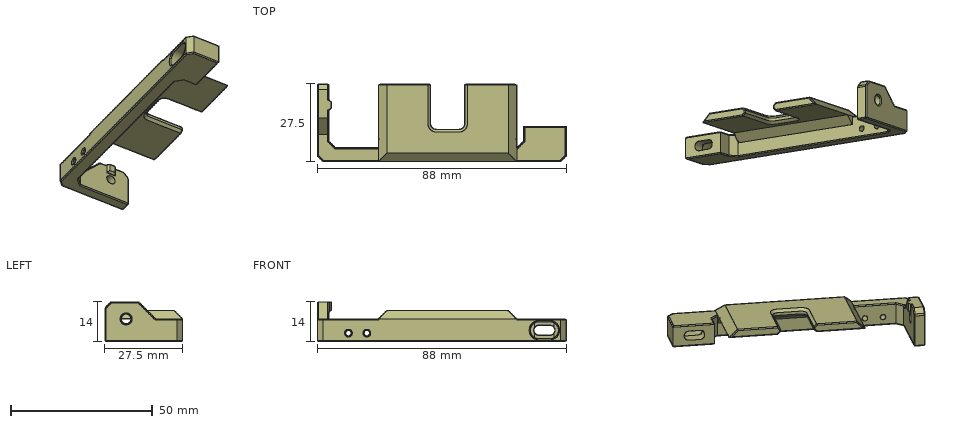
import cadquery as cq

LENGTH = 88.0
DEPTH = 27.5
HEIGHT = 14.0

BAR_HEIGHT = 8.0
BAR_DEPTH = 4.9
CORNER_CUT = 2.0
INNER_CUT = 2.4
ARM_THICKNESS = 4.05
ARM_REAR_CUT = 2.0
ARM_SLOPE_TOP_Y = 15.5
BLOCK_X = 72.95
BLOCK_DEPTH = 12.5
EDGE_BREAK = 0.4

PLATE_X = 21.6
PLATE_LENGTH = 48.9
PLATE_THICKNESS = 3.0
PLATE_TOP = BAR_HEIGHT + PLATE_THICKNESS
GUSSET_LEG = 3.0

NOTCH_X = 40.0
NOTCH_WIDTH = 12.1
NOTCH_FLOOR_Y = 11.4
NOTCH_RADIUS = 2.0
NOTCH_BEVEL = 1.0

ARM_HOLE_DIAMETER = 3.4
ARM_HOLE_Y = 20.0
ARM_HOLE_Z = BAR_HEIGHT
RIB_WIDTH = 3.5
RIB_REACH = 0.9
RIB_BEVEL = 0.7
RIB_BOTTOM_Z = 10.5

PIN_HOLE_DIAMETER = 1.9
PIN_HOLE_XS = (11.0, 17.5)
PIN_HOLE_Z = 3.0

SLOT_X = 80.3
SLOT_Z = BAR_HEIGHT / 2
SLOT_TRAVEL = 4.0
SLOT_WIDTH = 3.4
RECESS_WIDTH = 6.0
RECESS_DEPTH = 7.9
STEP_LENGTH = 6.9
STEP_DEPTH = 0.3


def make_frame():
    """Bar, arm and block as one outline, cut to the arm's side profile."""
    inner_cut_y = BAR_DEPTH + INNER_CUT
    outline = [
        (CORNER_CUT, 0),
        (LENGTH - CORNER_CUT, 0),
        (LENGTH, CORNER_CUT),
        (LENGTH, BLOCK_DEPTH),
        (BLOCK_X, BLOCK_DEPTH),
        (BLOCK_X, inner_cut_y),
        (BLOCK_X - INNER_CUT, BAR_DEPTH),
        (ARM_THICKNESS + INNER_CUT, BAR_DEPTH),
        (ARM_THICKNESS, inner_cut_y),
        (ARM_THICKNESS, DEPTH),
        (0, DEPTH),
        (0, CORNER_CUT),
    ]
    slope_bottom_y = ARM_SLOPE_TOP_Y - (HEIGHT - BAR_HEIGHT)
    side_profile = [
        (0, 0),
        (DEPTH, 0),
        (DEPTH, HEIGHT - ARM_REAR_CUT),
        (DEPTH - ARM_REAR_CUT, HEIGHT),
        (ARM_SLOPE_TOP_Y, HEIGHT),
        (slope_bottom_y, BAR_HEIGHT),
        (0, BAR_HEIGHT),
    ]
    above_bar = (
        cq.Workplane("XY", origin=(ARM_THICKNESS, 0, BAR_HEIGHT))
        .rect(LENGTH, DEPTH, centered=False)
        .extrude(HEIGHT)
    )
    sides = cq.Workplane("YZ").polyline(side_profile).close().extrude(LENGTH)
    frame = cq.Workplane("XY").polyline(outline).close().extrude(HEIGHT)
    frame = frame.intersect(sides).cut(above_bar)

    cross_edges = frame.edges("(not |Z) and (not |X)")
    long_edges = frame.edges("|X").filter(lambda edge: edge.Length() > ARM_THICKNESS)
    arm_rear_edges = frame.faces(">Y").edges()
    return cross_edges.add(long_edges).add(arm_rear_edges).chamfer(EDGE_BREAK)


def make_notch(offset, z):
    """Round-cornered notch outline, widened by offset, running out past the rear."""
    width = NOTCH_WIDTH + 2 * offset
    length = 2 * (DEPTH - NOTCH_FLOOR_Y) + 2 * offset
    outline = cq.Sketch().rect(width, length).vertices().fillet(NOTCH_RADIUS + offset)
    center = (NOTCH_X + NOTCH_WIDTH / 2, DEPTH, z)
    return cq.Workplane("XY", origin=center).placeSketch(outline)


def make_plate():
    """Plate bevelled on its left, right and front sides, notched at the rear."""
    right_x = PLATE_X + PLATE_LENGTH
    front_profile = [
        (PLATE_X, BAR_HEIGHT),
        (right_x, BAR_HEIGHT),
        (right_x - PLATE_THICKNESS, PLATE_TOP),
        (PLATE_X + PLATE_THICKNESS, PLATE_TOP),
    ]
    side_profile = [
        (0, BAR_HEIGHT),
        (DEPTH, BAR_HEIGHT),
        (DEPTH, PLATE_TOP),
        (PLATE_THICKNESS, PLATE_TOP),
    ]
    plate = cq.Workplane("XZ").polyline(front_profile).close().extrude(-DEPTH)
    sides = cq.Workplane("YZ").polyline(side_profile).close().extrude(LENGTH)
    plate = plate.intersect(sides)

    notch = make_notch(0, BAR_HEIGHT).extrude(PLATE_THICKNESS)
    top_bevel = make_notch(NOTCH_BEVEL, PLATE_TOP).extrude(-NOTCH_BEVEL, taper=45)
    bottom_bevel = make_notch(NOTCH_BEVEL, BAR_HEIGHT).extrude(NOTCH_BEVEL, taper=45)
    plate = plate.cut(notch).cut(top_bevel).cut(bottom_bevel)
    return plate.faces(">Y").edges().chamfer(EDGE_BREAK)


def make_plate_support():
    """Solid bar under the plate, with a sloped gusset along its rear."""
    profile = [
        (0, EDGE_BREAK),
        (BAR_DEPTH, EDGE_BREAK),
        (BAR_DEPTH, BAR_HEIGHT - GUSSET_LEG),
        (BAR_DEPTH + GUSSET_LEG, BAR_HEIGHT),
        (0, BAR_HEIGHT),
    ]
    return (
        cq.Workplane("YZ", origin=(PLATE_X, 0, 0))
        .polyline(profile)
        .close()
        .extrude(PLATE_LENGTH)
    )


def make_rib():
    """Vertical locating rib on the arm's inner face, bevelled at its sides and foot."""
    base_x = ARM_THICKNESS - EDGE_BREAK
    length = RIB_REACH + EDGE_BREAK
    height = HEIGHT - RIB_BOTTOM_Z
    rib = cq.Workplane("XY").box(length, RIB_WIDTH, height, centered=(False, True, False))
    return (
        rib.edges(">X and (not >Z)")
        .chamfer(RIB_BEVEL)
        .translate((base_x, ARM_HOLE_Y, RIB_BOTTOM_Z))
    )


def round_cutter(diameter, depth, bevel):
    """Round hole along +Z from the origin, bevelled at its mouth."""
    radius = diameter / 2
    hole = cq.Workplane("XY").circle(radius).extrude(depth)
    mouth = cq.Workplane("XY").circle(radius + bevel).extrude(bevel, taper=45)
    return hole.union(mouth)


def make_arm_hole():
    hole = round_cutter(ARM_HOLE_DIAMETER, ARM_THICKNESS, EDGE_BREAK)
    return hole.rotate((0, 0, 0), (0, 1, 0), 90).translate((0, ARM_HOLE_Y, ARM_HOLE_Z))


def make_pin_hole(x):
    hole = round_cutter(PIN_HOLE_DIAMETER, BAR_DEPTH, EDGE_BREAK)
    return hole.rotate((0, 0, 0), (1, 0, 0), -90).translate((x, 0, PIN_HOLE_Z))


def make_slot():
    """Through slot with a wide front recess and a shallow step at its floor."""
    front = cq.Workplane("XZ", origin=(SLOT_X, 0, SLOT_Z))
    slot_length = SLOT_TRAVEL + SLOT_WIDTH
    recess_length = SLOT_TRAVEL + RECESS_WIDTH
    rim_length = recess_length + 2 * EDGE_BREAK
    rim_width = RECESS_WIDTH + 2 * EDGE_BREAK
    slot = front.slot2D(slot_length, SLOT_WIDTH).extrude(-BLOCK_DEPTH)
    recess = front.slot2D(recess_length, RECESS_WIDTH).extrude(-RECESS_DEPTH)
    rim = front.slot2D(rim_length, rim_width).extrude(-EDGE_BREAK, taper=45)
    step = (
        front.rect(STEP_LENGTH, RECESS_WIDTH)
        .extrude(-RECESS_DEPTH - STEP_DEPTH)
        .intersect(front.slot2D(recess_length, RECESS_WIDTH).extrude(-BLOCK_DEPTH))
    )
    return slot.union(recess).union(rim).union(step)


result = make_frame().union(make_plate_support()).union(make_plate()).union(make_rib())
result = result.cut(make_arm_hole()).cut(make_slot())
for pin_x in PIN_HOLE_XS:
    result = result.cut(make_pin_hole(pin_x))